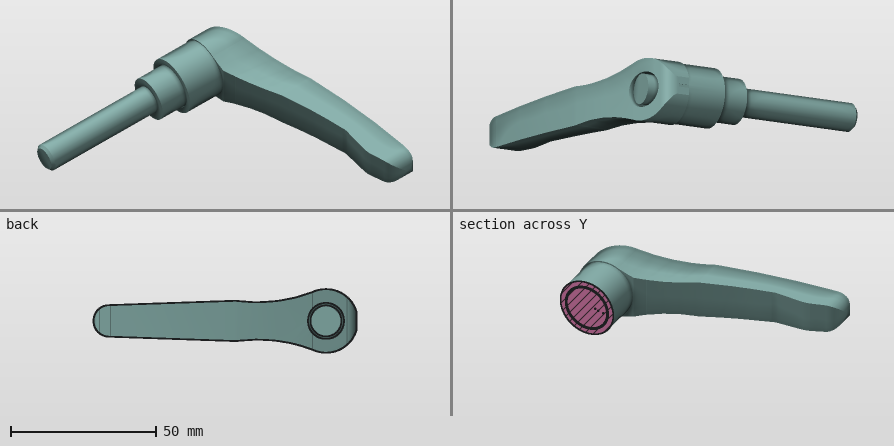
import cadquery as cq
import math

hub_diameter = 21.9
hub_radius = hub_diameter / 2
flat_x = -10.5
flat_top = 4.5
tip_x = 79.9
tip_radius = 5.5
lever_top = 30.2
tip_center_x = tip_x - tip_radius
corner_radius = 2.0

head_hole_diameter = 12.4
head_hole_floor = 1.0

slot_width = 1.0
slot_height = 4.0
slot_depth = 0.2

collar_diameter = 21.0
collar_bottom = -14.1
collar_bore_diameter = 16.6
collar_bore_depth = 1.0
sleeve_diameter = 16.0
sleeve_bottom = -24.0
rod_diameter = 10.0
overall_height = 99.3
rod_bottom = lever_top - overall_height
rod_chamfer = 1.0
head_diameter = 10.6
head_top = 13.1


def cylinder(diameter, bottom, top):
    """Solid cylinder on the screw axis between two heights along Y."""
    base = cq.Workplane("XZ", origin=(0, bottom, 0))
    return base.circle(diameter / 2).extrude(bottom - top)


def lever_side():
    """Curved lever profile in XY, extruded across the full hub width."""
    corner_offset = corner_radius * (1 - math.sqrt(0.5))
    profile = (
        cq.Workplane("XY")
        .moveTo(flat_x, 0)
        .lineTo(flat_x, flat_top)
        .threePointArc((-9.6, 7.2), (-7.1, 9.2))
        .lineTo(4.7, 13.9)
        .threePointArc((38.5, 24.2), (74.1, 30.1))
        .lineTo(tip_x - corner_radius, lever_top)
        .threePointArc(
            (tip_x - corner_offset, lever_top - corner_offset),
            (tip_x, lever_top - corner_radius),
        )
        .lineTo(tip_x, 26.7)
        .threePointArc((78.6, 23.0), (74.9, 20.4))
        .lineTo(69.9, 18.6)
        .threePointArc((68.1, 18.2), (66.2, 18.1))
        .lineTo(57.1, 18.1)
        .threePointArc((56.1, 18.0), (55.1, 17.7))
        .threePointArc((33.2, 10.5), (14.9, 2.2))
        .lineTo(14.6, 2.1)
        .lineTo(10.7, 0)
        .close()
    )
    return profile.extrude(hub_radius, both=True)


def lever_plan():
    """Lever outline in XZ: round hub, waist, tapered grip and round end."""
    neck_x = 4.7
    neck_half_width = math.sqrt(hub_radius**2 - neck_x**2)
    outline = (
        cq.Workplane("XZ")
        .moveTo(neck_x, neck_half_width)
        .threePointArc((14.8, 7.1), (30.0, 6.9))
        .threePointArc((30.8, 7.0), (31.6, 7.0))
        .lineTo(tip_center_x, tip_radius)
        .threePointArc((tip_x, 0), (tip_center_x, -tip_radius))
        .lineTo(31.6, -7.0)
        .threePointArc((30.8, -7.0), (30.0, -6.9))
        .threePointArc((14.8, -7.1), (neck_x, -neck_half_width))
        .threePointArc((-hub_radius, 0), (neck_x, neck_half_width))
        .close()
    )
    return outline.extrude(-lever_top)


def marking_slot():
    """Shallow slot in the hub flat, open at the underside of the hub."""
    return cq.Workplane("XY").box(
        slot_depth, slot_height, slot_width, centered=(False, False, True)
    ).translate((flat_x, 0, 0))


lever = lever_side().intersect(lever_plan())
lever = lever.cut(cylinder(head_hole_diameter, head_hole_floor, lever_top))
lever = lever.cut(marking_slot())

collar = cylinder(collar_diameter, collar_bottom, 0)
collar = collar.cut(
    cylinder(collar_bore_diameter, collar_bottom, collar_bottom + collar_bore_depth)
)

sleeve = cylinder(sleeve_diameter, sleeve_bottom, 0)
rod = cylinder(rod_diameter, rod_bottom, 0).faces("<Y").chamfer(rod_chamfer)
head = cylinder(head_diameter, 0, head_top)

result = lever.union(collar).union(sleeve).union(rod).union(head)